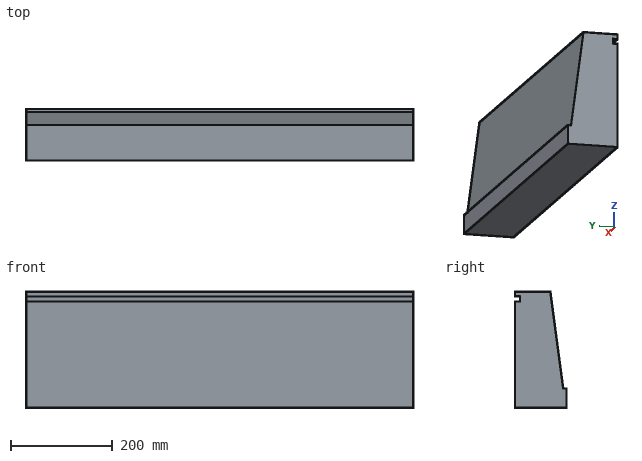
import cadquery as cq

length = 762.0
base_depth = 101.6
height = 228.6

foot_height = 38.1
foot_ledge = 6.35

top_depth = 69.85

lip_height = 9.525
groove_height = 9.525
groove_depth = 9.525

front_y = -base_depth / 2
back_y = base_depth / 2


def make_body():
    """Extrude the footed, tapered cross-section along X."""
    section = [
        (front_y, 0),
        (back_y, 0),
        (back_y, foot_height),
        (back_y - foot_ledge, foot_height),
        (front_y + top_depth, height),
        (front_y, height),
    ]
    return cq.Workplane("YZ").polyline(section).close().extrude(length / 2, both=True)


def make_groove():
    """Full-length rectangular slot cut into the front face."""
    groove_top = height - lip_height
    return (
        cq.Workplane("XY")
        .box(length, groove_depth, groove_height, centered=(True, False, False))
        .translate((0, front_y, groove_top - groove_height))
    )


result = make_body().cut(make_groove())